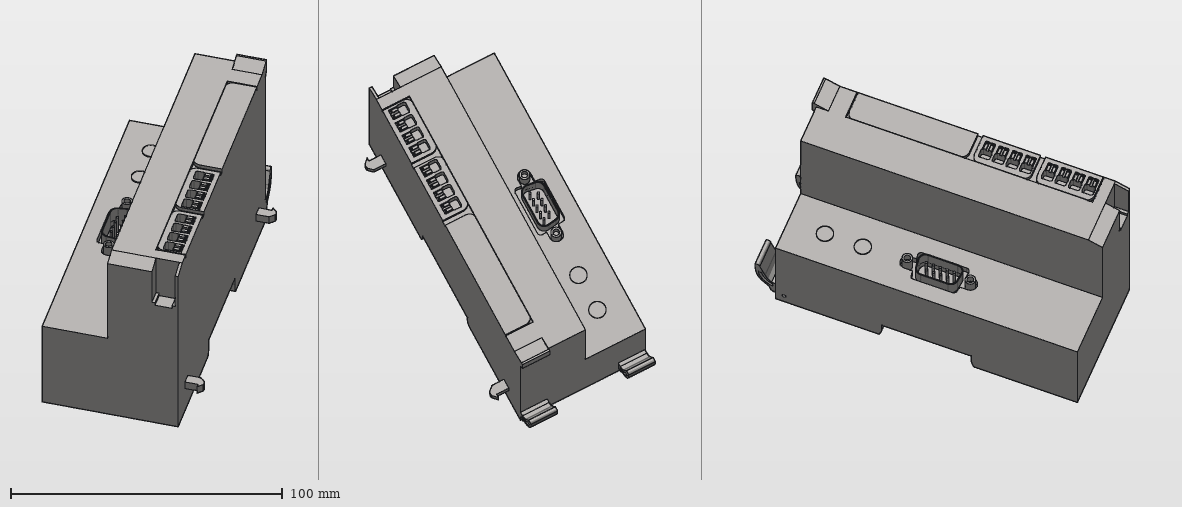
import cadquery as cq
import math


TOTAL_Y = 127.88
BODY_X = 52.0
BODY_Y = 119.6
BODY_Z = 75.45
SHELF_X = 25.0
SHELF_Z = 37.0
MID_Y = BODY_Y / 2
LATCH_RISE = 2.0
LATCH_RUN = 5.6

RAIL_WIDTH = 35.4
RAIL_DEPTH = 7.2
RAIL_FLARE = 1.1
RAIL_FLARE_Z = 4.3
RAIL_FLARE_RADIUS = (RAIL_FLARE**2 + RAIL_FLARE_Z**2) / (2 * RAIL_FLARE)

STRIP_X = 40.6
STRIP_Y0 = 10.1
STRIP_Y1 = 108.0
STRIP_DEPTH = 1.5
STRIP_GAP = 0.4
STRIP_SIDE_GAP = 0.15
BLOCK_COUNT = 2
BLOCK_GAP = 2.0
BLOCK_LENGTH = 22.8
CORNER_RADIUS = 3.25
CORNER_ANGLE = math.radians(60)

TERMINALS_PER_BLOCK = 4
TERMINAL_PITCH = 5.38
TERMINAL_SHIFT = -0.45
HOLE_X = 43.05
HOLE_LENGTH = 3.7
HOLE_WIDTH = 4.4
HOLE_CORNER = 0.8
CLAMP_X = HOLE_X + HOLE_LENGTH
HOLE_DEPTH = 4.0
CLAMP_LENGTH = 3.3
CLAMP_WIDTH = 3.9
CLAMP_DEPTH = 0.5
PAD_WIDTH = 1.2
PAD_SPACING = 2.1
PAD_LENGTHS = (2.3, 0.6)
PAD_GAP = 0.4
PAD_RISE = 0.35

SLOT_X0 = 41.95
SLOT_X1 = 50.85
SLOT_Z = 58.6
SLOT_STEP_X = 1.2
SLOT_STEP_Z = 1.2

LATCH_OVERHANG = 1.6
LATCH_CREST = 0.8
LATCH_FACE_Z = 72.5
LATCH_FOOT_Z = 70.3

SHELF_MID_X = 12.3
BUTTON_DIAMETER = 6.4
BUTTON_RISE = 0.4
BUTTON_YS = (89.9, 104.9)

RECESS_DEPTH = 3.0
RECESS_X0 = 6.45
RECESS_X1 = 18.15
RECESS_LENGTH_LEFT = 17.9
RECESS_LENGTH_RIGHT = 20.6
LOBE_RADIUS = 2.65
RECESS_CORNER = 1.4
SCREW_SPACING = 25.0
SCREW_DIAMETER = 3.9
SCREW_BORE = 2.4
SCREW_RISE = 3.2
SHELL_X0 = 7.6
SHELL_X1 = 16.7
SHELL_LENGTH_LEFT = 15.9
SHELL_LENGTH_RIGHT = 18.4
SHELL_CORNER = 2.9
SHELL_WALL = 0.4
SHELL_RISE = 2.9
SOCKET_DEPTH = 5.0
PIN_DIAMETER = 0.9
PIN_RISE = 2.0
PIN_PITCH = 2.77
PIN_ROWS = ((10.9, 4), (13.7, 5))

LEVER_WIDTH = 11.1
LEVER_XS = (0.25, BODY_X - LEVER_WIDTH)
LEVER_REACH = TOTAL_Y - BODY_Y
PIVOT_DIAMETER = 1.5
PIVOT_DEPTH = 4.0
PIVOT_Y = BODY_Y - 3.4
PIVOT_Z = 4.1

HOOK_X = 59.0
HOOK_BARB_X = 57.0
HOOK_Y0 = 106.5
HOOK_Y1 = 110.35
HOOK_BARB = 1.4
HOOK_NOSE_Y0 = 108.1
HOOK_NOSE_Y1 = 110.05
HOOK_NOSE_BULGE = 0.25
HOOK_Z0 = 11.0
HOOK_Z1 = 14.2


def box(x0, x1, y0, y1, z0, z1):
    """Axis-aligned box between two corners."""
    return cq.Workplane("XY").box(x1 - x0, y1 - y0, z1 - z0, centered=False).translate((x0, y0, z0))


def cylinder(x, y, z0, z1, diameter):
    """Upright cylinder between two heights."""
    return cq.Workplane("XY", origin=(x, y, z0)).circle(diameter / 2).extrude(z1 - z0)


def side_plane(x):
    """YZ workplane whose extrusions run toward +X."""
    return cq.Workplane("YZ", origin=(x, 0, 0))


def trapezoid(x0, x1, length_left, length_right, z0, z1, corner):
    """Upright prism centred on MID_Y with slanted ends and rounded corners."""
    outline = [
        (x0, MID_Y - length_left / 2),
        (x1, MID_Y - length_right / 2),
        (x1, MID_Y + length_right / 2),
        (x0, MID_Y + length_left / 2),
    ]
    prism = cq.Workplane("XY", origin=(0, 0, z0)).polyline(outline).close().extrude(z1 - z0)
    return prism.edges("|Z").fillet(corner)


def housing():
    """L-shaped housing with the front bevel and the rail notch."""
    side = [
        (0, 0),
        (BODY_Y, 0),
        (BODY_Y, BODY_Z),
        (LATCH_RUN, BODY_Z),
        (0, BODY_Z - LATCH_RISE),
    ]
    body = side_plane(0).polyline(side).close().extrude(BODY_X)
    body = body.cut(box(0, SHELF_X, 0, BODY_Y, SHELF_Z, BODY_Z))

    half = RAIL_WIDTH / 2
    notch = (
        side_plane(0)
        .moveTo(MID_Y - half - RAIL_FLARE, 0)
        .radiusArc((MID_Y - half, RAIL_FLARE_Z), -RAIL_FLARE_RADIUS)
        .lineTo(MID_Y - half, RAIL_DEPTH)
        .lineTo(MID_Y + half, RAIL_DEPTH)
        .lineTo(MID_Y + half, RAIL_FLARE_Z)
        .radiusArc((MID_Y + half + RAIL_FLARE, 0), -RAIL_FLARE_RADIUS)
        .close()
        .extrude(BODY_X)
    )
    return body.cut(notch)


def latch_slot():
    """Slot cut into the front bevel, with a narrower step at its foot."""
    main = box(SLOT_X0, SLOT_X1, 0, LATCH_RUN, SLOT_Z, BODY_Z)
    step = box(SLOT_X0 + SLOT_STEP_X, SLOT_X1 - SLOT_STEP_X, 0, LATCH_RUN, SLOT_Z - SLOT_STEP_Z, SLOT_Z)
    return main.union(step)


def rear_latch():
    """Wedge-shaped latch standing over the top rear edge."""
    crest_y = BODY_Y + LATCH_CREST
    outline = [
        (crest_y - LATCH_RUN, BODY_Z),
        (crest_y, BODY_Z + LATCH_RISE),
        (BODY_Y + LATCH_OVERHANG, BODY_Z + LATCH_RISE),
        (BODY_Y + LATCH_OVERHANG, LATCH_FACE_Z),
        (BODY_Y, LATCH_FOOT_Z),
        (BODY_Y - LATCH_OVERHANG, LATCH_FOOT_Z),
        (BODY_Y - LATCH_OVERHANG, BODY_Z),
    ]
    return side_plane(STRIP_X).polyline(outline).close().extrude(BODY_X - STRIP_X)


def strip_block(y0, y1):
    """Block filling the strip recess, its two left corners rounded off by an arc."""
    def arc_point(angle):
        along = CORNER_RADIUS * (math.sin(CORNER_ANGLE) - math.sin(angle))
        inset = CORNER_RADIUS * (1 - math.cos(angle))
        return STRIP_X + STRIP_SIDE_GAP + along, inset

    end_x, end_inset = arc_point(CORNER_ANGLE)
    mid_x, mid_inset = arc_point(CORNER_ANGLE / 2)
    start_x, _ = arc_point(0)
    floor_z = BODY_Z - STRIP_DEPTH
    return (
        cq.Workplane("XY", origin=(0, 0, floor_z))
        .moveTo(BODY_X, y0)
        .lineTo(start_x, y0)
        .threePointArc((mid_x, y0 + mid_inset), (end_x, y0 + end_inset))
        .lineTo(end_x, y1 - end_inset)
        .threePointArc((mid_x, y1 - mid_inset), (start_x, y1))
        .lineTo(BODY_X, y1)
        .close()
        .extrude(STRIP_DEPTH)
    )


def add_terminal(body, y):
    """Rounded release hole and a clamp of four raised pads in a shallow recess."""
    hole = box(HOLE_X, CLAMP_X, y - HOLE_WIDTH / 2, y + HOLE_WIDTH / 2, BODY_Z - HOLE_DEPTH, BODY_Z)
    hole = hole.edges("|Z").fillet(HOLE_CORNER)
    floor_z = BODY_Z - CLAMP_DEPTH
    clamp = box(CLAMP_X, CLAMP_X + CLAMP_LENGTH, y - CLAMP_WIDTH / 2, y + CLAMP_WIDTH / 2, floor_z, BODY_Z)
    body = body.cut(hole).cut(clamp)

    for side in (-1, 1):
        pad_y = y + side * PAD_SPACING / 2
        pad_x = CLAMP_X
        for length in PAD_LENGTHS:
            body = body.union(
                box(pad_x, pad_x + length, pad_y - PAD_WIDTH / 2, pad_y + PAD_WIDTH / 2,
                    floor_z, BODY_Z + PAD_RISE)
            )
            pad_x += length + PAD_GAP
    return body


def add_terminal_strip(body):
    """Recess the strip, then fill it with two terminal blocks and a blank cover."""
    body = body.cut(box(STRIP_X, BODY_X, STRIP_Y0, STRIP_Y1, BODY_Z - STRIP_DEPTH, BODY_Z))
    y = STRIP_Y0 + STRIP_GAP
    for _ in range(BLOCK_COUNT):
        body = body.union(strip_block(y, y + BLOCK_LENGTH))
        row_y = y + BLOCK_LENGTH / 2 + TERMINAL_SHIFT
        for index in range(TERMINALS_PER_BLOCK):
            offset = (index - (TERMINALS_PER_BLOCK - 1) / 2) * TERMINAL_PITCH
            body = add_terminal(body, row_y + offset)
        y += BLOCK_LENGTH + BLOCK_GAP
    return body.union(strip_block(y, STRIP_Y1 - STRIP_GAP))


def connector_recess():
    """Recess around the connector with a round-ended lobe for each screw post."""
    floor_z = SHELF_Z - RECESS_DEPTH
    recess = trapezoid(RECESS_X0, RECESS_X1, RECESS_LENGTH_LEFT, RECESS_LENGTH_RIGHT,
                       floor_z, SHELF_Z, RECESS_CORNER)
    lobes = (
        cq.Workplane("XY", origin=(SHELF_MID_X, MID_Y, floor_z))
        .slot2D(SCREW_SPACING + 2 * LOBE_RADIUS, 2 * LOBE_RADIUS, 90)
        .extrude(RECESS_DEPTH)
    )
    return recess.union(lobes)


def shell_interior():
    """Space inside the shell, reaching down to the socket floor."""
    return trapezoid(SHELL_X0 + SHELL_WALL, SHELL_X1 - SHELL_WALL,
                     SHELL_LENGTH_LEFT - 2 * SHELL_WALL, SHELL_LENGTH_RIGHT - 2 * SHELL_WALL,
                     SHELF_Z - SOCKET_DEPTH, SHELF_Z + SHELL_RISE, SHELL_CORNER - SHELL_WALL)


def add_connector(body):
    """D-shaped shell, nine pins and two bored screw posts standing in the recess."""
    floor_z = SHELF_Z - RECESS_DEPTH
    shell = trapezoid(SHELL_X0, SHELL_X1, SHELL_LENGTH_LEFT, SHELL_LENGTH_RIGHT,
                      floor_z, SHELF_Z + SHELL_RISE, SHELL_CORNER)
    body = body.cut(connector_recess()).union(shell).cut(shell_interior())

    for x, count in PIN_ROWS:
        for index in range(count):
            y = MID_Y + (index - (count - 1) / 2) * PIN_PITCH
            body = body.union(cylinder(x, y, SHELF_Z - SOCKET_DEPTH, SHELF_Z + PIN_RISE, PIN_DIAMETER))

    for side in (-1, 1):
        y = MID_Y + side * SCREW_SPACING / 2
        post = cylinder(SHELF_MID_X, y, floor_z, SHELF_Z + SCREW_RISE, SCREW_DIAMETER)
        bore = cylinder(SHELF_MID_X, y, SHELF_Z, SHELF_Z + SCREW_RISE, SCREW_BORE)
        body = body.union(post.cut(bore))
    return body


def lever(x):
    """Curved release lever with a curved slot through its arm."""
    def point(out, z):
        return BODY_Y + out, z

    arm = (
        side_plane(x)
        .moveTo(*point(0, 4.1))
        .lineTo(*point(0.9, 4.2))
        .lineTo(*point(2.0, 5.0))
        .lineTo(*point(2.7, 7.3))
        .threePointArc(point(6.3, 10.7), point(8.0, 15.3))
        .lineTo(*point(LEVER_REACH, 18.0))
        .lineTo(*point(LEVER_REACH, 19.6))
        .threePointArc(point(7.6, 20.1), point(6.3, 19.0))
        .lineTo(*point(4.2, 14.1))
        .threePointArc(point(3.2, 12.3), point(1.6, 10.7))
        .lineTo(*point(0, 10.5))
        .close()
        .extrude(LEVER_WIDTH)
    )
    slot = (
        side_plane(x)
        .moveTo(*point(1.2, 8.1))
        .lineTo(*point(1.7, 8.2))
        .threePointArc(point(5.2, 10.8), point(6.9, 15.0))
        .lineTo(*point(5.6, 15.0))
        .threePointArc(point(4.2, 11.9), point(2.0, 9.8))
        .lineTo(*point(1.2, 9.7))
        .close()
        .extrude(LEVER_WIDTH)
    )
    return arm.cut(slot)


def side_hook():
    """Barbed hook on the right face, near the rear end."""
    barb_y = HOOK_Y1 + HOOK_BARB
    nose_x = HOOK_X - HOOK_NOSE_BULGE
    return (
        cq.Workplane("XY", origin=(0, 0, HOOK_Z0))
        .moveTo(BODY_X, HOOK_Y0)
        .lineTo(HOOK_BARB_X, HOOK_Y0)
        .lineTo(nose_x, HOOK_NOSE_Y0)
        .threePointArc((HOOK_X, (HOOK_NOSE_Y0 + HOOK_NOSE_Y1) / 2), (nose_x, HOOK_NOSE_Y1))
        .lineTo(HOOK_BARB_X, barb_y)
        .lineTo(HOOK_BARB_X, HOOK_Y1)
        .lineTo(BODY_X, HOOK_Y1)
        .close()
        .extrude(HOOK_Z1 - HOOK_Z0)
    )


def build():
    body = housing().cut(latch_slot()).union(rear_latch())
    body = add_terminal_strip(body)
    body = add_connector(body)
    for y in BUTTON_YS:
        body = body.union(cylinder(SHELF_MID_X, y, SHELF_Z, SHELF_Z + BUTTON_RISE, BUTTON_DIAMETER))
    for x in LEVER_XS:
        body = body.union(lever(x))
    pivot = side_plane(0).center(PIVOT_Y, PIVOT_Z).circle(PIVOT_DIAMETER / 2).extrude(PIVOT_DEPTH)
    hook = side_hook()
    mirrored_hook = hook.mirror("XZ", (0, MID_Y, 0))
    return body.cut(pivot).union(hook).union(mirrored_hook)


result = build()